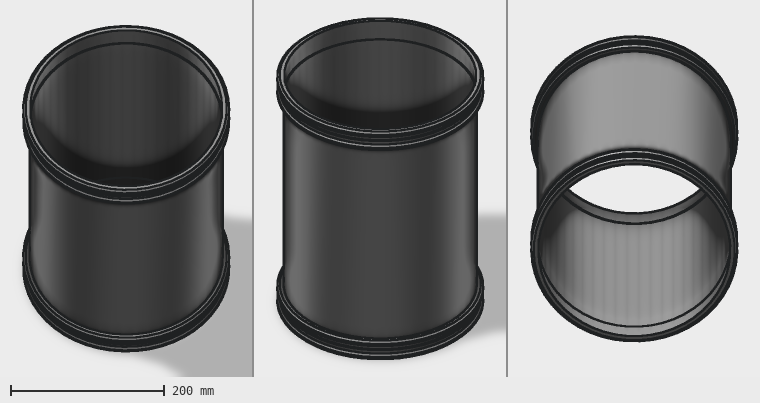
import cadquery as cq

tube_length = 300.0
bore_radius = 250.0 / 2
tube_radius = 251.8 / 2
ring_radius = 261.8 / 2
flange_radius = 268.4 / 2

ring_height = 29.4
flange_land = 2.3
flange_bevel = flange_radius - ring_radius
flange_width = flange_land + 2 * flange_bevel
groove_width = 1.0
groove_depth = 1.0

tube_half_length = tube_length / 2
half_length = tube_half_length + ring_height


def sleeve(outer_radius, bottom, height):
    """Hollow cylinder with the common bore."""
    return (
        cq.Workplane("XY", origin=(0, 0, bottom))
        .circle(outer_radius)
        .circle(bore_radius)
        .extrude(height)
    )


def flange(bottom):
    """Flange with a bevel on both faces and a narrow cylindrical land at its rim."""
    outline = [
        (bore_radius, bottom),
        (ring_radius, bottom),
        (flange_radius, bottom + flange_bevel),
        (flange_radius, bottom + flange_bevel + flange_land),
        (ring_radius, bottom + flange_width),
        (bore_radius, bottom + flange_width),
    ]
    return cq.Workplane("XZ").polyline(outline).close().revolve(360, (0, 0, 0), (0, 1, 0))


def groove(middle):
    """Material removed by the fine groove around the seating band."""
    return (
        cq.Workplane("XY", origin=(0, 0, middle - groove_width / 2))
        .circle(flange_radius)
        .circle(ring_radius - groove_depth)
        .extrude(groove_width)
    )


def end_ring(bottom):
    """Ring with one flange at each face and a groove at mid-height."""
    return (
        sleeve(ring_radius, bottom, ring_height)
        .union(flange(bottom))
        .union(flange(bottom + ring_height - flange_width))
        .cut(groove(bottom + ring_height / 2))
    )


upper_ring = end_ring(tube_half_length)

lower_ring = end_ring(-half_length)
flanged_tube = sleeve(tube_radius, -tube_half_length, tube_length).union(lower_ring)

result = cq.Compound.makeCompound([upper_ring.val(), flanged_tube.val()])